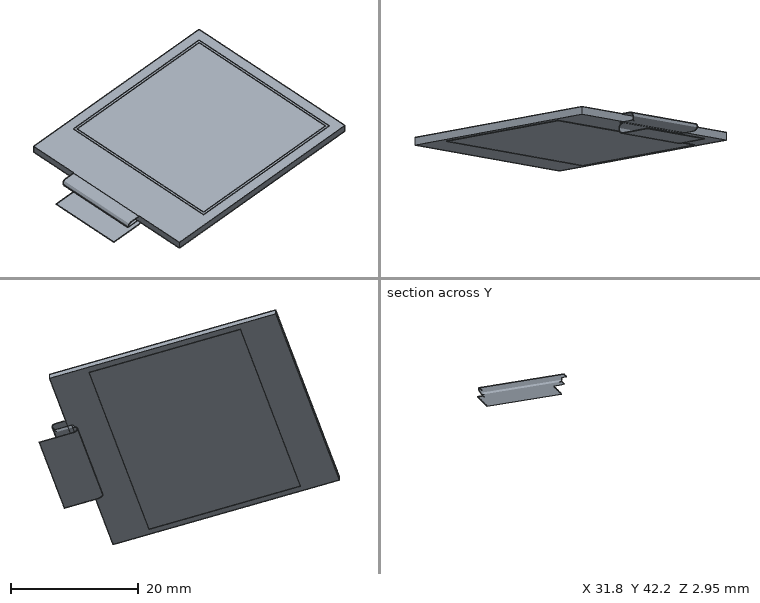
import cadquery as cq

overall_length = 42.2
overall_height = 2.95
plate_width = 31.8
plate_length = 37.35
sheet_thickness = 0.1

groove_size = 28.37
groove_width = 0.42
groove_depth = 0.05
groove_back_margin = 1.77

film_width = 29.98
film_length = 25.0
film_back_margin = 6.12

ribbon_width = 14.25
tail_width = 12.6
front_bend_radius = 0.68
front_bend_reach = 2.5
rear_bend_inset = 1.5

taper_start_depth = 0.5
taper_knee_depth = 1.25
taper_knee_inset = 0.4

plate_front = overall_length - plate_length
return_bottom = -2 * front_bend_radius
return_top = return_bottom + sheet_thickness
plate_thickness = -return_top
rear_bend_radius = (overall_height - plate_thickness) / 2
front_bend_y = plate_front - front_bend_reach + front_bend_radius
rear_bend_y = plate_front + rear_bend_inset - rear_bend_radius
tail_bottom = -overall_height


def block(width, y_front, y_back, z_bottom, z_top):
    """Box centred on x = 0."""
    return cq.Workplane("XY").box(
        width, y_back - y_front, z_top - z_bottom, centered=(True, False, False)
    ).translate((0, y_front, z_bottom))


def make_plate():
    plate = block(plate_width, plate_front, overall_length, -plate_thickness, 0)
    groove_back = overall_length - groove_back_margin
    groove_front = groove_back - groove_size
    groove = block(groove_size, groove_front, groove_back, -groove_depth, 0)
    island = block(
        groove_size - 2 * groove_width,
        groove_front + groove_width,
        groove_back - groove_width,
        -groove_depth,
        0,
    )
    return plate.cut(groove.cut(island))


def make_film():
    film_back = overall_length - film_back_margin
    return block(film_width, film_back - film_length, film_back, return_bottom, return_top)


def make_ribbon():
    front_inner = front_bend_radius - sheet_thickness
    rear_inner = rear_bend_radius - sheet_thickness
    front_center_z = -front_bend_radius
    rear_center_z = tail_bottom + rear_bend_radius
    strip = (
        cq.Workplane("YZ")
        .moveTo(plate_front, 0)
        .lineTo(front_bend_y, 0)
        .threePointArc((front_bend_y - front_bend_radius, front_center_z), (front_bend_y, return_bottom))
        .lineTo(rear_bend_y, return_bottom)
        .threePointArc(
            (rear_bend_y + rear_inner, rear_center_z),
            (rear_bend_y, tail_bottom + sheet_thickness),
        )
        .lineTo(0, tail_bottom + sheet_thickness)
        .lineTo(0, tail_bottom)
        .lineTo(rear_bend_y, tail_bottom)
        .threePointArc((rear_bend_y + rear_bend_radius, rear_center_z), (rear_bend_y, return_top))
        .lineTo(front_bend_y, return_top)
        .threePointArc(
            (front_bend_y - front_inner, front_center_z),
            (front_bend_y, -sheet_thickness),
        )
        .lineTo(plate_front, -sheet_thickness)
        .close()
        .extrude(ribbon_width / 2, both=True)
    )
    right_side = [
        (ribbon_width / 2, 0),
        (ribbon_width / 2, -taper_start_depth),
        (ribbon_width / 2 - taper_knee_inset, -taper_knee_depth),
        (tail_width / 2, return_bottom),
        (tail_width / 2, tail_bottom),
    ]
    left_side = [(-x, z) for x, z in reversed(right_side)]
    envelope = (
        cq.Workplane("XZ").polyline(right_side + left_side).close().extrude(-overall_length)
    )
    return strip.intersect(envelope)


result = make_plate().union(make_film()).union(make_ribbon())